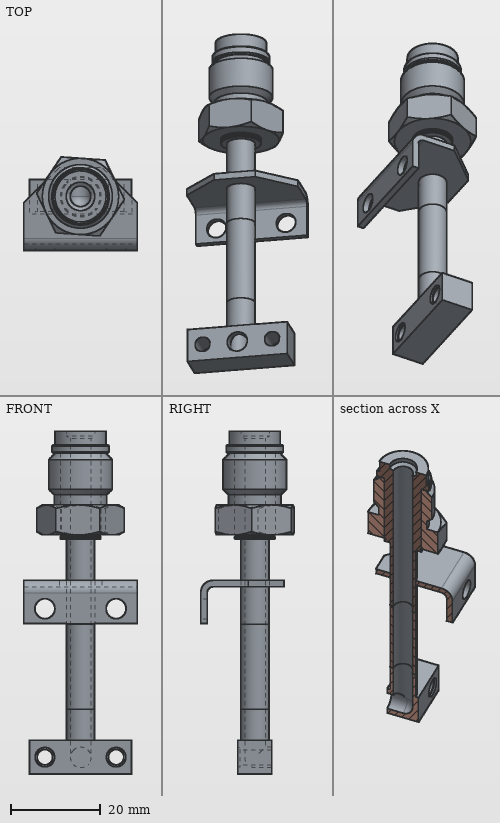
import cadquery as cq
import math

overall_height = 76.48
tube_diameter = 6.35
bore_diameter = 4.57
screw_spacing = 15.875
screw_clearance_diameter = 4.4

block_length = 22.8
block_width = 7.62
block_height = 7.62
thread_hole_diameter = 3.4
recess_diameter = 4.35
recess_depth = 0.5
stub_top = 14.45

gland_bottom = 33.4
head_diameter = 11.4
seat_diameter = tube_diameter
seat_depth = 1.08
seat_cone_angle = 120
bead_diameter = 12.8
bead_top = overall_height - 3.02
bead_bottom = overall_height - 4.88
bead_chamfer = 0.3
shank_diameter = 9.1
collar_bottom = overall_height - 24.05
collar_chamfer = 0.15
groove_depth = 0.3
groove_offset = 0.72

nut_top = bead_bottom
nut_bottom = overall_height - 23.15
hex_height = 6.7
hex_across_flats = 17.0
hex_turn = -4
hex_chamfer_angle = 30
barrel_diameter = 14.2
barrel_top_chamfer = 1.45
barrel_bottom_chamfer = 1.2
barrel_bottom = overall_height - 14.18
neck_diameter = barrel_diameter - 2 * barrel_bottom_chamfer

bracket_width = 25.4
bracket_thickness = 1.5
bracket_top = overall_height - 33.23
bracket_height = 9.7
bracket_front = -12.065
bracket_back = 6.55
bracket_corner_cut = 8.0
bend_inner_radius = 1.27
bracket_hole_drop = 6.35


def screw_points(height):
    """X and Z places of the two screws at the given height."""
    return [(side * screw_spacing / 2, height) for side in (-1, 1)]


def screw_holes(diameter, height):
    """Pair of long cutters along Y at the screw places."""
    circles = cq.Workplane("XZ").pushPoints(screw_points(height)).circle(diameter / 2)
    return circles.extrude(block_length, both=True)


def tube(bottom, top):
    """Plain length of tube on the Z axis."""
    outline = cq.Workplane("XY", origin=(0, 0, bottom)).circle(tube_diameter / 2)
    return outline.circle(bore_diameter / 2).extrude(top - bottom)


def make_block():
    """Block with a tube stub, and a flow passage that turns from the stub to the +Y face."""
    body = cq.Workplane("XY").box(block_length, block_width, block_height, centered=(True, True, False))
    stub = cq.Workplane("XY", origin=(0, 0, block_height)).circle(tube_diameter / 2)
    body = body.union(stub.extrude(stub_top - block_height))

    middle = block_height / 2
    bore_radius = bore_diameter / 2
    down = cq.Workplane("XY", origin=(0, 0, middle)).circle(bore_radius).extrude(stub_top)
    across = cq.Workplane("XZ", origin=(0, 0, middle)).circle(bore_radius).extrude(-block_width)
    elbow = cq.Workplane("XY", origin=(0, 0, middle)).sphere(bore_radius)
    body = body.cut(down).cut(across).cut(elbow)

    body = body.cut(screw_holes(thread_hole_diameter, middle))
    recess_bottom = recess_depth - block_width / 2
    recesses = (
        cq.Workplane("XZ", origin=(0, recess_bottom, 0))
        .pushPoints(screw_points(middle))
        .circle(recess_diameter / 2)
        .extrude(recess_depth)
    )
    return body.cut(recesses)


def make_gland():
    """Turned sealing gland with its own length of tube below."""
    tube_radius = tube_diameter / 2
    bore_radius = bore_diameter / 2
    seat_radius = seat_diameter / 2
    head_radius = head_diameter / 2
    bead_radius = bead_diameter / 2
    shank_radius = shank_diameter / 2
    seat_bottom = overall_height - seat_depth
    cone_depth = (seat_radius - bore_radius) / math.tan(math.radians(seat_cone_angle / 2))
    groove_middle = collar_bottom + groove_offset
    profile = [
        (bore_radius, gland_bottom),
        (tube_radius, gland_bottom),
        (tube_radius, collar_bottom),
        (shank_radius - collar_chamfer, collar_bottom),
        (shank_radius, collar_bottom + collar_chamfer),
        (shank_radius, groove_middle - groove_depth),
        (shank_radius - groove_depth, groove_middle),
        (shank_radius, groove_middle + groove_depth),
        (shank_radius, bead_bottom),
        (bead_radius - bead_chamfer, bead_bottom),
        (bead_radius, bead_bottom + bead_chamfer),
        (bead_radius, bead_top - bead_chamfer),
        (bead_radius - bead_chamfer, bead_top),
        (head_radius, bead_top),
        (head_radius, overall_height),
        (seat_radius, overall_height),
        (seat_radius, seat_bottom),
        (bore_radius, seat_bottom - cone_depth),
    ]
    return cq.Workplane("XZ").polyline(profile).close().revolve(360, (0, 0), (0, 1))


def make_nut():
    """Hex with both ends chamfered, a neck and a round barrel, bored for the gland shank."""
    hex_corner_radius = hex_across_flats / 2 / math.cos(math.pi / 6)
    hex_top = nut_bottom + hex_height
    hexagon = (
        cq.Workplane("XY", origin=(0, 0, nut_bottom))
        .polygon(6, 2 * hex_corner_radius)
        .extrude(hex_height)
        .rotate((0, 0, 0), (0, 0, 1), hex_turn)
    )
    flat_radius = hex_across_flats / 2
    chamfer_height = (hex_corner_radius - flat_radius) * math.tan(math.radians(hex_chamfer_angle))
    envelope = [
        (0, nut_bottom),
        (flat_radius, nut_bottom),
        (hex_corner_radius, nut_bottom + chamfer_height),
        (hex_corner_radius, hex_top - chamfer_height),
        (flat_radius, hex_top),
        (0, hex_top),
    ]
    hexagon = hexagon.intersect(
        cq.Workplane("XZ").polyline(envelope).close().revolve(360, (0, 0), (0, 1))
    )

    barrel_radius = barrel_diameter / 2
    barrel_profile = [
        (0, nut_bottom),
        (neck_diameter / 2, nut_bottom),
        (neck_diameter / 2, barrel_bottom),
        (barrel_radius, barrel_bottom + barrel_bottom_chamfer),
        (barrel_radius, nut_top - barrel_top_chamfer),
        (barrel_radius - barrel_top_chamfer, nut_top),
        (0, nut_top),
    ]
    barrel = cq.Workplane("XZ").polyline(barrel_profile).close().revolve(360, (0, 0), (0, 1))
    bore = (
        cq.Workplane("XY", origin=(0, 0, nut_bottom))
        .circle(shank_diameter / 2)
        .extrude(nut_top - nut_bottom)
    )
    return hexagon.union(barrel).cut(bore)


def make_bracket():
    """Sheet-metal angle with cut rear corners, a tube hole and two screw holes."""
    bracket_bottom = bracket_top - bracket_height
    plate_bottom = bracket_top - bracket_thickness
    leg_back = bracket_front + bracket_thickness
    bend_outer_radius = bend_inner_radius + bracket_thickness
    bend_y = bracket_front + bend_outer_radius
    bend_z = bracket_top - bend_outer_radius
    diagonal = math.sqrt(0.5)
    body = (
        cq.Workplane("YZ")
        .moveTo(bracket_front, bracket_bottom)
        .lineTo(bracket_front, bend_z)
        .threePointArc(
            (bend_y - bend_outer_radius * diagonal, bend_z + bend_outer_radius * diagonal),
            (bend_y, bracket_top),
        )
        .lineTo(bracket_back, bracket_top)
        .lineTo(bracket_back, plate_bottom)
        .lineTo(bend_y, plate_bottom)
        .threePointArc(
            (bend_y - bend_inner_radius * diagonal, bend_z + bend_inner_radius * diagonal),
            (leg_back, bend_z),
        )
        .lineTo(leg_back, bracket_bottom)
        .close()
        .extrude(bracket_width / 2, both=True)
    )
    body = body.edges("|Z and >Y").chamfer(bracket_corner_cut)
    tube_hole = (
        cq.Workplane("XY", origin=(0, 0, plate_bottom)).circle(tube_diameter / 2).extrude(bracket_thickness)
    )
    return body.cut(tube_hole).cut(screw_holes(screw_clearance_diameter, bracket_top - bracket_hole_drop))


block = make_block()
middle_tube = tube(stub_top, gland_bottom)
gland = make_gland()
nut = make_nut()
bracket = make_bracket()

result = cq.Compound.makeCompound(
    [block.val(), middle_tube.val(), gland.val(), nut.val(), bracket.val()]
)